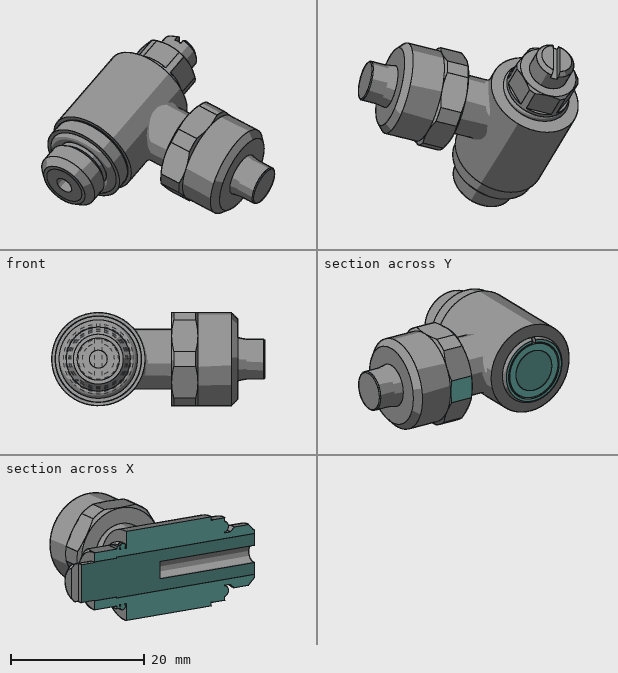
import cadquery as cq
import math


BARREL_D = 14.0
BARREL_BACK_Y = 6.0
BARREL_FRONT_Y = -9.0
COLLAR_D = 13.0
COLLAR_RELIEF_D = 12.85
COLLAR_BACK_Y = -9.2
COLLAR_FRONT_Y = -11.4
SEAL_OUTER_D = 11.85
SEAL_WIRE_R = 0.9
SEAL_Y = -11.17

SPIGOT_NECK_D = 8.3
SPIGOT_D = 9.6
SPIGOT_TIP_D = 7.5
SPIGOT_CONE_Y = -12.35
SPIGOT_BACK_Y = SPIGOT_CONE_Y - (SPIGOT_D - SPIGOT_NECK_D) / 2
SPIGOT_TIP_Y = -16.6
SPIGOT_TIP_CHAMFER = (SPIGOT_D - SPIGOT_TIP_D) / 2

HEX_FLATS = 9.0
HEX_CORNERS_D = 9.85
HEX_FRONT_Y = 7.68
HEX_BACK_Y = 11.6
HEX_CHAMFER_AXIAL = 0.3
HEX_CHAMFER_RADIAL = 0.48
FLANGE_FRONT_Y = 7.1
GROOVE_D = 8.75
RING_OUTER_D = 10.5
RING_WIRE_R = 0.5
RING_Y = 6.6
RING_GAP = 0.55

ARM_D = 9.0
ARM_FILLET = 0.48
NUT_FLATS = BARREL_D
NUT_CORNERS_D = 15.05
NUT_START_X = 10.98
NUT_HEX_END_X = 14.98
NUT_CHAMFER_AXIAL = 0.35
NUT_CHAMFER_RADIAL = 0.58
NUT_END_X = 20.95
NUT_END_CHAMFER = 1.0
SLEEVE_D = 6.53
TUBE_D = 6.0
SLEEVE_END_X = 22.3
TUBE_END_X = 32 - BARREL_D / 2
TUBE_CHAMFER = 0.15

CORE_D = 6.35
CORE_HEAD_D = 6.0
CORE_TIP_Y = SPIGOT_TIP_Y
CORE_END_Y = 15.15
CORE_CHAMFER = 0.6
CORE_BORE_D = 2.7
CORE_BORE_END_Y = 0.0
SLOT_WIDTH = 1.1
SLOT_DEPTH = 1.2


def rod_y(diameter, start, end):
    """Cylinder on the barrel axis between two Y positions."""
    return cq.Workplane("XZ", origin=(0, start, 0)).circle(diameter / 2).extrude(start - end)


def rod_x(diameter, start, end):
    """Cylinder on the arm axis between two X positions."""
    return cq.Workplane("YZ", origin=(start, 0, 0)).circle(diameter / 2).extrude(end - start)


def ring_y(outer_diameter, wire_radius, y):
    """Round-wire ring on the barrel axis."""
    mean_radius = outer_diameter / 2 - wire_radius
    return cq.Workplane(cq.Solid.makeTorus(mean_radius, wire_radius, cq.Vector(0, y, 0), cq.Vector(0, 1, 0)))


def hexagon_diameter(across_flats):
    """Diameter of the circle through a hexagon's sharp corners."""
    return across_flats / math.cos(math.pi / 6)


def make_spigot():
    profile = [
        (0, COLLAR_FRONT_Y),
        (SPIGOT_NECK_D / 2, COLLAR_FRONT_Y),
        (SPIGOT_NECK_D / 2, SPIGOT_CONE_Y),
        (SPIGOT_D / 2, SPIGOT_BACK_Y),
        (SPIGOT_D / 2, SPIGOT_TIP_Y + SPIGOT_TIP_CHAMFER),
        (SPIGOT_TIP_D / 2, SPIGOT_TIP_Y),
        (0, SPIGOT_TIP_Y),
    ]
    return cq.Workplane("XY").polyline(profile).close().revolve(360, (0, 0), (0, 1))


def make_rear_hexagon():
    """Hexagon with rounded corners and a turned chamfer on its rear end."""
    blank = rod_y(HEX_CORNERS_D, HEX_FRONT_Y, HEX_BACK_Y)
    blank = blank.faces(">Y").chamfer(HEX_CHAMFER_AXIAL, HEX_CHAMFER_RADIAL)
    prism = (
        cq.Workplane("XZ", origin=(0, HEX_FRONT_Y, 0))
        .polygon(6, hexagon_diameter(HEX_FLATS))
        .extrude(HEX_FRONT_Y - HEX_BACK_Y)
    )
    return blank.intersect(prism)


def make_split_ring():
    """Snap ring in the groove, with its gap facing +Z."""
    gap = cq.Workplane("XY", origin=(0, RING_Y, 0)).rect(RING_GAP, 3 * RING_WIRE_R).extrude(RING_OUTER_D)
    return ring_y(RING_OUTER_D, RING_WIRE_R, RING_Y).cut(gap)


def make_barrel_and_arm():
    barrel = rod_y(BARREL_D, BARREL_FRONT_Y, BARREL_BACK_Y)
    tee = barrel.union(rod_x(ARM_D, 0, NUT_START_X))
    joint = cq.selectors.BoxSelector((0, -ARM_D / 2, -ARM_D / 2), (BARREL_D / 2, ARM_D / 2, ARM_D / 2))
    return tee.edges(joint).edges("not(%LINE)").fillet(ARM_FILLET)


def make_union_nut():
    blank = rod_x(NUT_CORNERS_D, NUT_START_X, NUT_HEX_END_X)
    for end in ("<X", ">X"):
        blank = blank.faces(end).chamfer(NUT_CHAMFER_AXIAL, NUT_CHAMFER_RADIAL)
    prism = (
        cq.Workplane("YZ", origin=(NUT_START_X, 0, 0))
        .polygon(6, hexagon_diameter(NUT_FLATS))
        .extrude(NUT_HEX_END_X - NUT_START_X)
    )
    collar_start = NUT_HEX_END_X - NUT_CHAMFER_AXIAL
    collar = rod_x(NUT_FLATS, collar_start, NUT_END_X).faces(">X").chamfer(NUT_END_CHAMFER)
    return blank.intersect(prism).union(collar)


def make_tube_end():
    profile = [
        (NUT_END_X, 0),
        (NUT_END_X, SLEEVE_D / 2),
        (SLEEVE_END_X, TUBE_D / 2),
        (TUBE_END_X - TUBE_CHAMFER, TUBE_D / 2),
        (TUBE_END_X, TUBE_D / 2 - TUBE_CHAMFER),
        (TUBE_END_X, 0),
    ]
    return cq.Workplane("XY").polyline(profile).close().revolve(360, (0, 0), (1, 0))


def make_fitting():
    """Elbow fitting with a stepped bore that the core fills."""
    return (
        make_barrel_and_arm()
        .union(rod_y(COLLAR_RELIEF_D, COLLAR_BACK_Y, BARREL_FRONT_Y))
        .union(rod_y(COLLAR_D, COLLAR_FRONT_Y, COLLAR_BACK_Y))
        .union(ring_y(SEAL_OUTER_D, SEAL_WIRE_R, SEAL_Y))
        .union(make_spigot())
        .union(rod_y(GROOVE_D, BARREL_BACK_Y, FLANGE_FRONT_Y))
        .union(make_split_ring())
        .union(rod_y(HEX_CORNERS_D, FLANGE_FRONT_Y, HEX_FRONT_Y))
        .union(make_rear_hexagon())
        .union(make_union_nut())
        .union(make_tube_end())
        .cut(rod_y(CORE_D, SPIGOT_TIP_Y, HEX_FRONT_Y))
        .cut(rod_y(CORE_HEAD_D, HEX_FRONT_Y, HEX_BACK_Y))
    )


def make_core():
    """Adjusting core, bored from its tip, with a screwdriver slot in its head."""
    head = rod_y(CORE_HEAD_D, HEX_FRONT_Y, CORE_END_Y).faces(">Y").chamfer(CORE_CHAMFER)
    slot = cq.Workplane("XY").box(SLOT_WIDTH, 2 * SLOT_DEPTH, CORE_D).translate((0, CORE_END_Y, 0))
    return (
        rod_y(CORE_D, CORE_TIP_Y, HEX_FRONT_Y)
        .union(head)
        .cut(slot)
        .cut(rod_y(CORE_BORE_D, CORE_TIP_Y, CORE_BORE_END_Y))
    )


fitting = make_fitting()
core = make_core()

result = cq.Compound.makeCompound([fitting.val(), core.val()])